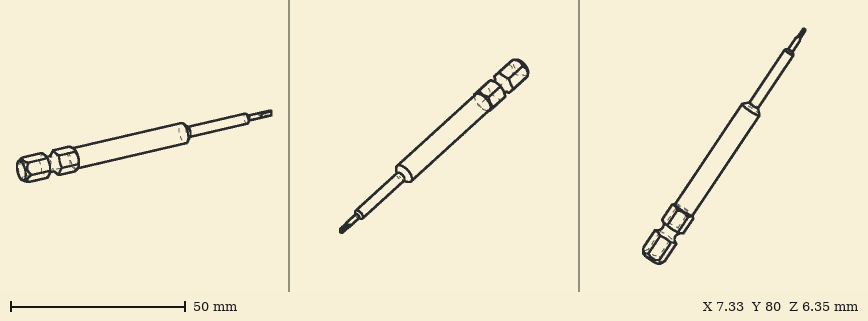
import cadquery as cq
import math

total_length = 80.0
shank_length = 17.0
groove_center = 9.3
body_end = 52.0
shaft_end = 72.0

hex_across_flats = 6.35
hex_corner_radius = hex_across_flats / math.sqrt(3)
body_radius = 3.0
shaft_radius = 1.5
tip_radius = 0.75
shank_end_radius = 2.85
shank_end_cone_angle = 30.0

neck_radius = 2.25
groove_arc_radius = 1.9

blade_thickness = 0.7
blade_flat_length = 2.0
blade_runout_length = 1.6


def revolve_about_y(profile):
    """Revolve a closed (radius, Y) profile drawn in the XY plane around the Y axis."""
    return profile.revolve(360, (0, 0, 0), (0, 1, 0))


def make_shank():
    """Hexagonal shank with corners on the X axis, a conical free end and a 45 degree body end."""
    hexagon = (
        cq.Workplane("XZ")
        .polygon(6, 2 * hex_corner_radius)
        .extrude(-shank_length)
    )
    free_end_chamfer = (hex_corner_radius - shank_end_radius) / math.tan(math.radians(shank_end_cone_angle))
    body_end_chamfer = hex_corner_radius - body_radius
    turned_envelope = revolve_about_y(
        cq.Workplane("XY")
        .moveTo(0, 0)
        .lineTo(shank_end_radius, 0)
        .lineTo(hex_corner_radius, free_end_chamfer)
        .lineTo(hex_corner_radius, shank_length - body_end_chamfer)
        .lineTo(body_radius, shank_length)
        .lineTo(0, shank_length)
        .close()
    )
    return hexagon.intersect(turned_envelope)


def make_groove():
    """Round-bottomed ring groove that leaves the narrow neck in the shank."""
    groove_ring = cq.Solid.makeTorus(
        neck_radius + groove_arc_radius,
        groove_arc_radius,
        cq.Vector(0, groove_center, 0),
        cq.Vector(0, 1, 0),
    )
    return cq.Workplane("XY").add(groove_ring)


def make_stepped_rod():
    """Round body, shaft and tip, joined by 45 degree shoulders."""
    return revolve_about_y(
        cq.Workplane("XY")
        .moveTo(0, shank_length)
        .lineTo(body_radius, shank_length)
        .lineTo(body_radius, body_end)
        .lineTo(shaft_radius, body_end + body_radius - shaft_radius)
        .lineTo(shaft_radius, shaft_end)
        .lineTo(tip_radius, shaft_end + shaft_radius - tip_radius)
        .lineTo(tip_radius, total_length)
        .lineTo(0, total_length)
        .close()
    )


def make_blade_cut():
    """Material removed on the +X side of the tip: a flat that runs out along an arc."""
    flat_x = blade_thickness / 2
    flat_start = total_length - blade_flat_length
    depth = tip_radius - flat_x
    runout_radius = (blade_runout_length**2 + depth**2) / (2 * depth)
    half_angle = math.asin(blade_runout_length / runout_radius) / 2
    arc_middle = (
        flat_x + runout_radius * (1 - math.cos(half_angle)),
        flat_start - runout_radius * math.sin(half_angle),
    )
    return (
        cq.Workplane("XY")
        .moveTo(flat_x, total_length)
        .lineTo(flat_x, flat_start)
        .threePointArc(arc_middle, (tip_radius, flat_start - blade_runout_length))
        .lineTo(tip_radius, total_length)
        .close()
        .extrude(tip_radius, both=True)
    )


blade_cut = make_blade_cut()
shank = make_shank().cut(make_groove())
rod = make_stepped_rod().cut(blade_cut).cut(blade_cut.mirror("YZ"))
result = shank.union(rod)